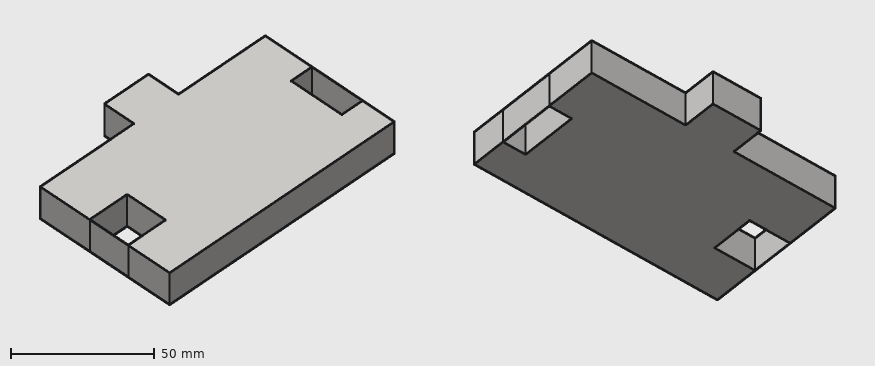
import cadquery as cq

length = 111.1
total_width = 78.2
thickness = 15.0
tab_reach = 14.5
tab_start = 46.3
tab_end = 68.2
upper_edge_inset = 0.2

front_notch_left = 38.9
front_notch_width = 18.9
front_notch_depth = 18.5
rear_notch_left = 37.8
rear_notch_width = 24.9
rear_notch_depth = 10.3
web = 0.1


def block(left, front, width, depth):
    """Full-thickness block located by its left front lower corner."""
    return cq.Workplane("XY").box(width, depth, thickness, centered=False).translate((left, front, 0))


upper_left = tab_reach + upper_edge_inset
outline = [
    (tab_reach, 0),
    (total_width, 0),
    (total_width, length),
    (upper_left, length),
    (upper_left, tab_end),
    (0, tab_end),
    (0, tab_start),
    (tab_reach, tab_start),
]
plate = cq.Workplane("XY").polyline(outline).close().extrude(thickness)

front_notch = block(front_notch_left, web, front_notch_width, front_notch_depth - web)
rear_notch = block(rear_notch_left, length - rear_notch_depth, rear_notch_width, rear_notch_depth - web)

result = plate.cut(front_notch).cut(rear_notch)